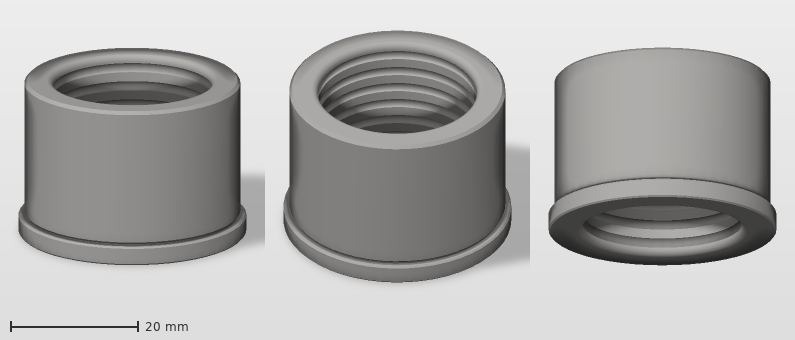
import cadquery as cq

height = 25.0
flange_radius = 17.9
flange_height = 3.0
flange_chamfer = 0.25
body_radius = 16.97
body_chamfer = 0.5

relief_depth = 0.35
relief_top = 3.5
relief_outer_radius = 17.35
relief_floor = flange_height - 0.1

bore_radius = 12.5
mouth_radius = 1.0
groove_count = 8
groove_radius = 0.75
groove_end_margin = 2.0
groove_pitch = (height - 2 * groove_end_margin) / (groove_count - 1)


def make_sleeve():
    """Flanged tube, revolved about Z from its half section."""
    relief_radius = body_radius - relief_depth
    mouth_edge = bore_radius + mouth_radius
    mouth_mid = mouth_radius * (1 - 0.5 ** 0.5)
    section = (
        cq.Workplane("XZ")
        .moveTo(mouth_edge, 0)
        .lineTo(flange_radius - flange_chamfer, 0)
        .lineTo(flange_radius, flange_chamfer)
        .lineTo(flange_radius, flange_height - flange_chamfer)
        .lineTo(flange_radius - flange_chamfer, flange_height)
        .lineTo(relief_outer_radius, flange_height)
        .lineTo(body_radius, relief_floor)
        .lineTo(relief_radius, relief_floor)
        .lineTo(relief_radius, relief_top - relief_depth)
        .lineTo(body_radius, relief_top)
        .lineTo(body_radius, height - body_chamfer)
        .lineTo(body_radius - body_chamfer, height)
        .lineTo(mouth_edge, height)
        .threePointArc(
            (bore_radius + mouth_mid, height - mouth_mid),
            (bore_radius, height - mouth_radius),
        )
        .lineTo(bore_radius, mouth_radius)
        .threePointArc((bore_radius + mouth_mid, mouth_mid), (mouth_edge, 0))
        .close()
    )
    return section.revolve(360, (0, 0, 0), (0, 1, 0))


def make_oil_groove(z):
    """Ring of round section, centred on the bore wall at height z."""
    ring = cq.Solid.makeTorus(bore_radius, groove_radius)
    return cq.Workplane(obj=ring).translate((0, 0, z))


result = make_sleeve()
for index in range(groove_count):
    result = result.cut(make_oil_groove(groove_end_margin + index * groove_pitch))